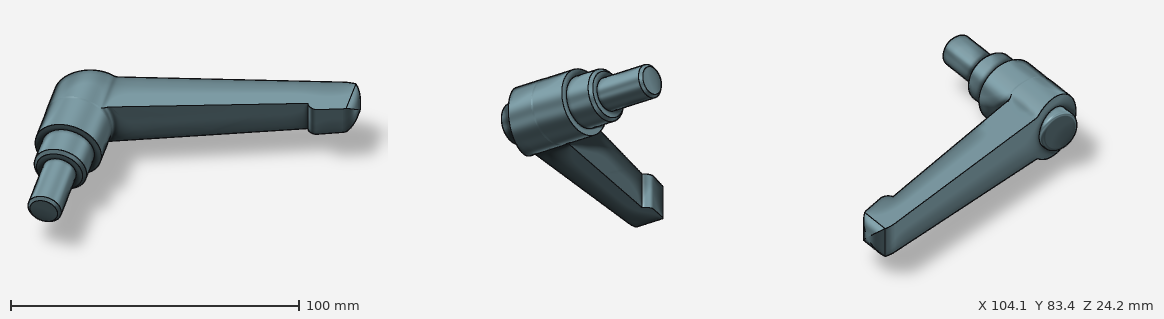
import cadquery as cq
import math


overall_length = 104.1

stud_radius = 6.0
stud_end = -31.0
stud_chamfer = 1.0
collar_radius = 9.5
collar_end = -11.0
collar_chamfer = 1.1
body_radius = 12.0
body_height = 13.0
hub_radius = 12.1
button_radius = 7.6
button_top = 32.1
button_rounding = 1.2

top_angle = math.radians(15.9)
top_height_on_axis = 27.8
underside_angle = math.radians(20)
blend_radius = 3.0
arm_top = 52.4
top_rounding = 12.5
tip_face_start = 88.9
tip_bottom_start = 88.0
tip_middle_height = 46.1
tip_reach = overall_length - hub_radius
draft_angle = math.radians(2)
tip_half_width = 5.8
hook_start = 75.6
nose_center_height = 39.3
nose_radius = 3.1

overshoot = 5.2
side_excess = 1.0


def top_y(x):
    """Height of the sloping top face."""
    return top_height_on_axis + x * math.tan(top_angle)


def half_width(x):
    """Half thickness of the drafted arm along Z."""
    return tip_half_width + (tip_face_start - x) * math.tan(draft_angle)


def cylinder(radius, start, end):
    """Cylinder about the Y axis between two heights."""
    return cq.Workplane("XZ", origin=(0, start, 0)).circle(radius).extrude(start - end)


blend_center = body_radius + blend_radius
blend_end_radius = blend_center - blend_radius * math.sin(underside_angle)
blend_end_height = body_height + blend_radius * math.cos(underside_angle)
blend_mid_angle = (math.pi / 2 - underside_angle) / 2
blend_middle = (
    blend_center - blend_radius * math.cos(blend_mid_angle),
    body_height + blend_radius * math.sin(blend_mid_angle),
)
underside_end_height = blend_end_height + (hook_start - blend_end_radius) * math.tan(underside_angle)


def make_stack():
    """Stud, collar, body and release button, stacked along Y."""
    stud = cylinder(stud_radius, stud_end, 0).faces("<Y").chamfer(stud_chamfer)
    collar = cylinder(collar_radius, collar_end, 0).faces("<Y").chamfer(collar_chamfer)
    body = cylinder(body_radius, 0, body_height)
    button = cylinder(button_radius, body_height, button_top).faces(">Y").fillet(button_rounding)
    return stud.union(collar).union(body).union(button)


def make_plan():
    """Prism along Y with the outline of round hub, concave side blends, drafted arm and tip."""
    center_distance = hub_radius + blend_radius
    side_offset_on_axis = half_width(0) * math.cos(draft_angle) + blend_radius
    center_angle = math.asin(side_offset_on_axis / center_distance) - draft_angle
    center_x = center_distance * math.cos(center_angle)
    center_z = center_distance * math.sin(center_angle)

    def blend_point(angle):
        return (
            center_x + blend_radius * math.cos(angle),
            center_z + blend_radius * math.sin(angle),
        )

    hub_touch_angle = center_angle + math.pi
    arm_touch_angle = 1.5 * math.pi - draft_angle
    hub_x, hub_z = blend_point(hub_touch_angle)
    mid_x, mid_z = blend_point((hub_touch_angle + arm_touch_angle) / 2)
    arm_x, arm_z = blend_point(arm_touch_angle)
    return (
        cq.Workplane("XZ", origin=(0, body_height, 0))
        .moveTo(hub_x, hub_z)
        .threePointArc((mid_x, mid_z), (arm_x, arm_z))
        .lineTo(tip_face_start, tip_half_width)
        .threePointArc((tip_reach, 0), (tip_face_start, -tip_half_width))
        .lineTo(arm_x, -arm_z)
        .threePointArc((mid_x, -mid_z), (hub_x, -hub_z))
        .threePointArc((-hub_radius, 0), (hub_x, hub_z))
        .close()
        .extrude(-arm_top)
    )


def make_flare():
    """Hub core whose foot widens through the concave blend into the underside."""
    return (
        cq.Workplane("XY")
        .moveTo(0, body_height)
        .lineTo(body_radius, body_height)
        .threePointArc(blend_middle, (blend_end_radius, blend_end_height))
        .lineTo(blend_end_radius, arm_top)
        .lineTo(0, arm_top)
        .close()
        .revolve(360, (0, 0, 0), (0, 1, 0))
    )


def make_shank():
    """Arm between hub and hook, above an underside ruled from the blend arc to the hook line."""
    arc_z = half_width(0) + side_excess
    arc_x = math.sqrt(blend_end_radius ** 2 - arc_z ** 2)
    line_z = half_width(hook_start) + side_excess
    root = cq.Edge.makeThreePointArc(
        cq.Vector(arc_x, blend_end_height, -arc_z),
        cq.Vector(blend_end_radius, blend_end_height, 0),
        cq.Vector(arc_x, blend_end_height, arc_z),
    )
    end = cq.Edge.makeLine(
        cq.Vector(hook_start, underside_end_height, -line_z),
        cq.Vector(hook_start, underside_end_height, line_z),
    )
    underside = cq.Face.makeRuledSurface(root, end)
    return cq.Workplane(cq.Solid.extrudeLinear(underside, cq.Vector(0, arm_top, 0)))


nose_start_drop = nose_center_height - underside_end_height
nose_x = hook_start + math.sqrt(nose_radius ** 2 - nose_start_drop ** 2)
nose_end = (
    nose_x + nose_radius * math.sin(underside_angle),
    nose_center_height - nose_radius * math.cos(underside_angle),
)
nose_start_angle = math.pi + math.asin(nose_start_drop / nose_radius)
nose_mid_angle = (nose_start_angle + 1.5 * math.pi + underside_angle) / 2
nose_middle = (
    nose_x + nose_radius * math.cos(nose_mid_angle),
    nose_center_height + nose_radius * math.sin(nose_mid_angle),
)
tip_bottom = nose_end[1] + (tip_bottom_start - nose_end[0]) * math.tan(underside_angle)


def make_grip():
    """Thicker end of the arm, from the hook nose to the round tip."""
    return (
        cq.Workplane("XY")
        .moveTo(hook_start, underside_end_height)
        .threePointArc(nose_middle, nose_end)
        .lineTo(tip_bottom_start, tip_bottom)
        .threePointArc((tip_reach, tip_middle_height), (tip_face_start, arm_top))
        .lineTo(hook_start, arm_top)
        .close()
        .extrude(hub_radius, both=True)
    )


def make_side_limit():
    """Everything below the sloping top face, with its rounded run-out at the tip."""
    end_x = tip_reach + overshoot
    corner_x = (arm_top - top_height_on_axis) / math.tan(top_angle)
    return (
        cq.Workplane("XY")
        .moveTo(-hub_radius - overshoot, 0)
        .lineTo(-hub_radius - overshoot, top_y(-hub_radius - overshoot))
        .lineTo(corner_x, arm_top)
        .lineTo(end_x, arm_top)
        .lineTo(end_x, 0)
        .close()
        .extrude(hub_radius + overshoot, both=True)
        .edges(cq.selectors.NearestToPointSelector((corner_x, arm_top, 0)))
        .fillet(top_rounding)
    )


plan = make_plan()
side_limit = make_side_limit()
result = make_stack()
for lever_part in (make_flare(), make_shank(), make_grip()):
    result = result.union(lever_part.intersect(plan).intersect(side_limit))